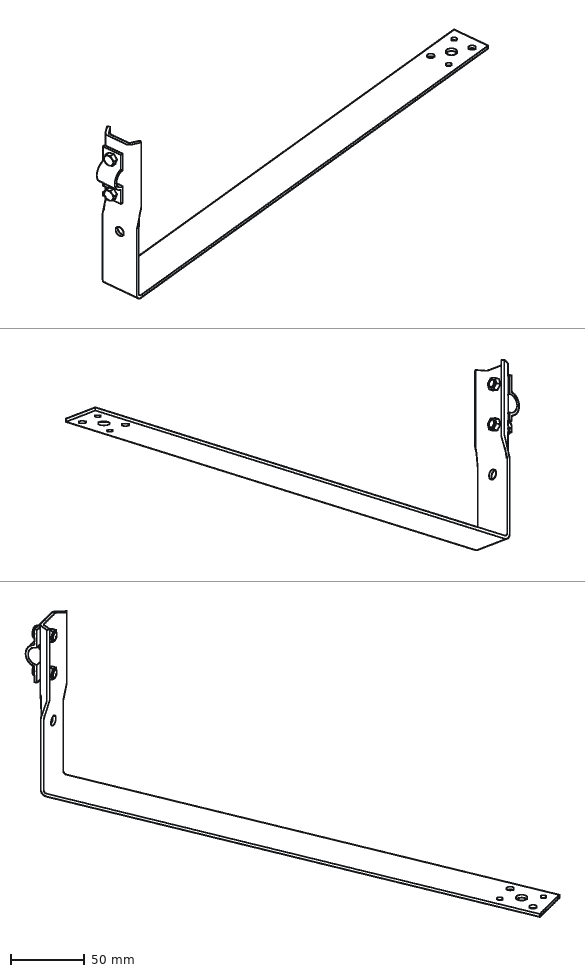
import cadquery as cq
import math

total_height = 130.0
strap_width = 30.0
sheet = 2.5
foot_back_y = 380.5
bend_outer_radius = 4.7
bend_inner_radius = bend_outer_radius - sheet

channel_length = 55.0
transition_length = 15.5
channel_bottom_z = total_height - channel_length
transition_bottom_z = channel_bottom_z - transition_length
channel_front_y = -3.0
front_half_width = 8.5
shoulder_outer_radius = 3.5
shoulder_inner_radius = shoulder_outer_radius - sheet
flat_front_half_width = 13.0
flange_angle = math.radians(60)

upright_hole_diameter = 7.0
upright_hole_z = 51.5
foot_hole_diameter = 8.0
foot_hole_y = 359.0
corner_hole_x = 8.0
corner_hole_y = 12.5
large_corner_hole = 5.0
small_corner_hole = 4.0

clamp_width = 16.0
clamp_height = 41.0
clamp_sheet = 2.0
clamp_gap = 3.0
clamp_z = total_height - 27.0
clamp_back_y = channel_front_y - clamp_gap
clamp_front_y = clamp_back_y - clamp_sheet
arch_outer_radius = 8.7
arch_inner_radius = arch_outer_radius - clamp_sheet
arch_root_radius = 1.0

screw_spacing = 29.3
screw_middle_z = 103.0
screw_diameter = 5.5
hex_across_flats = 8.0
hex_turn = 12
hex_corner_diameter = hex_across_flats / math.cos(math.pi / 6)
head_chamfer_angle = math.radians(30)
head_height = 3.5
nut_height = 3.5
screw_tip = 0.8
nut_front_y = channel_front_y + sheet
screw_end_y = nut_front_y + nut_height + screw_tip
lower_screw_z = screw_middle_z - screw_spacing / 2
upper_screw_z = screw_middle_z + screw_spacing / 2
screw_heights = (lower_screw_z, upper_screw_z)


def cylinder_along_y(diameter, front_y, back_y, z):
    """A round bar parallel to Y and centred on X = 0."""
    axis_start = cq.Vector(0, front_y, z)
    return cq.Workplane(
        cq.Solid.makeCylinder(diameter / 2, back_y - front_y, axis_start, cq.Vector(0, 1, 0))
    )


def shoulder_point(radius, angle):
    """Point of a right-hand shoulder arc, measured by its turn away from the channel front."""
    center_y = channel_front_y + shoulder_outer_radius
    return (front_half_width + radius * math.sin(angle), center_y - radius * math.cos(angle))


def hat_outline(workplane):
    """Channel section: flat front, two round shoulders and two flanges sloping back to the edges."""
    turns = (0, flange_angle / 2, flange_angle)
    out_start, out_mid, out_end = [shoulder_point(shoulder_outer_radius, turn) for turn in turns]
    in_start, in_mid, in_end = [shoulder_point(shoulder_inner_radius, turn) for turn in turns]
    reach_x = strap_width / 2 - out_end[0]
    reach_y = reach_x * math.tan(flange_angle)
    out_edge = (out_end[0] + reach_x, out_end[1] + reach_y)
    in_edge = (in_end[0] + reach_x, in_end[1] + reach_y)

    def left(point):
        return (-point[0], point[1])

    return (
        workplane.moveTo(*out_start)
        .threePointArc(out_mid, out_end)
        .lineTo(*out_edge)
        .lineTo(*in_edge)
        .lineTo(*in_end)
        .threePointArc(in_mid, in_start)
        .lineTo(*left(in_start))
        .threePointArc(left(in_mid), left(in_end))
        .lineTo(*left(in_edge))
        .lineTo(*left(out_edge))
        .lineTo(*left(out_end))
        .threePointArc(left(out_mid), left(out_start))
        .close()
    )


def flat_outline(workplane):
    """Flat strap section with a corner to match each end of the channel's lines and arcs."""
    edge = strap_width / 2
    shoulder = (flat_front_half_width + edge) / 2
    front_half = [(flat_front_half_width, 0), (shoulder, 0), (edge, 0)]
    back_half = [(x, sheet) for x, _ in reversed(front_half)]
    right_half = front_half + back_half
    return workplane.polyline(right_half + [(-x, y) for x, y in reversed(right_half)]).close()


def make_bent_strip():
    """Foot and upright, as one side outline drawn across the strap width."""
    return (
        cq.Workplane("YZ")
        .moveTo(foot_back_y, 0)
        .lineTo(bend_outer_radius, 0)
        .radiusArc((0, bend_outer_radius), bend_outer_radius)
        .lineTo(0, transition_bottom_z)
        .lineTo(sheet, transition_bottom_z)
        .lineTo(sheet, bend_outer_radius)
        .radiusArc((bend_outer_radius, sheet), -bend_inner_radius)
        .lineTo(foot_back_y, sheet)
        .close()
        .extrude(strap_width / 2, both=True)
    )


def make_transition():
    """Straight-ruled change of section from the flat upright to the channel."""
    flat = flat_outline(cq.Workplane("XY", origin=(0, 0, transition_bottom_z)))
    return hat_outline(flat.workplane(offset=transition_length)).loft(ruled=True)


def make_channel():
    """Straight hat-shaped length above the transition."""
    return hat_outline(cq.Workplane("XY", origin=(0, 0, channel_bottom_z))).extrude(channel_length)


def cut_foot_holes(strap):
    """Centre hole with two large and two small corner holes on opposite diagonals."""
    x, y = corner_hole_x, corner_hole_y
    hole_groups = [
        (foot_hole_diameter, [(0, 0)]),
        (large_corner_hole, [(x, y), (-x, -y)]),
        (small_corner_hole, [(-x, y), (x, -y)]),
    ]
    for diameter, places in hole_groups:
        holes = (
            cq.Workplane("XY", origin=(0, foot_hole_y, 0))
            .pushPoints(places).circle(diameter / 2).extrude(sheet)
        )
        strap = strap.cut(holes)
    return strap


def make_strap():
    """One-piece strap: foot, upright, transition and channel, with all its holes."""
    strap = make_bent_strip().union(make_transition()).union(make_channel())
    strap = cut_foot_holes(strap)
    strap = strap.cut(cylinder_along_y(upright_hole_diameter, 0, sheet, upright_hole_z))
    for z in screw_heights:
        strap = strap.cut(cylinder_along_y(screw_diameter, channel_front_y, nut_front_y, z))
    return strap


def make_clamp():
    """Two flat legs joined by a half-round arch, with a hole above and an open slot below."""
    legs = cq.Workplane("XY").box(clamp_width, clamp_sheet, clamp_height).translate(
        (0, (clamp_front_y + clamp_back_y) / 2, clamp_z)
    )
    side_plane = cq.Workplane("YZ", origin=(0, clamp_back_y, clamp_z))
    ring = side_plane.circle(arch_outer_radius).extrude(clamp_width / 2, both=True)
    behind = cq.Workplane("XY").box(
        clamp_width, arch_outer_radius, clamp_height, centered=(True, False, True)
    ).translate((0, clamp_back_y, clamp_z))
    bore = side_plane.circle(arch_inner_radius).extrude(clamp_width / 2, both=True)
    clamp = legs.union(ring.cut(behind))
    root_z = math.sqrt(arch_outer_radius**2 - clamp_sheet**2)
    for z in (clamp_z - root_z, clamp_z + root_z):
        clamp = clamp.edges(cq.NearestToPointSelector((0, clamp_front_y, z))).fillet(arch_root_radius)
    clamp = clamp.cut(bore)
    for z in screw_heights:
        clamp = clamp.cut(cylinder_along_y(screw_diameter, clamp_front_y, clamp_back_y, z))
    slot = cq.Workplane("XY").box(
        clamp_width / 2, clamp_sheet, screw_diameter
    ).translate((-clamp_width / 4, (clamp_front_y + clamp_back_y) / 2, lower_screw_z))
    return clamp.cut(slot)


def hexagon_along_y(front_y, length, z):
    """Hexagonal prism shared by heads and nuts, turned a little about its axis."""
    return (
        cq.Workplane("XZ").polygon(6, hex_corner_diameter).extrude(-length)
        .rotate((0, 0, 0), (0, 1, 0), -hex_turn)
        .translate((0, front_y, z))
    )


def head_envelope(front_y, z):
    """Cone that trims the hexagon corners and leaves a round front face as wide as the flats."""
    front_radius = hex_across_flats / 2
    back_radius = front_radius + head_height / math.tan(head_chamfer_angle)
    face_center = cq.Vector(0, front_y, z)
    return cq.Workplane(
        cq.Solid.makeCone(front_radius, back_radius, head_height, face_center, cq.Vector(0, 1, 0))
    )


def make_screw(z):
    """Hexagon head with chamfered corners and a plain shank."""
    head_front_y = clamp_front_y - head_height
    head = hexagon_along_y(head_front_y, head_height, z).intersect(head_envelope(head_front_y, z))
    return head.union(cylinder_along_y(screw_diameter, clamp_front_y, screw_end_y, z))


def make_nut(z):
    """Plain hexagon nut seated against the inside of the channel front."""
    nut = hexagon_along_y(nut_front_y, nut_height, z)
    return nut.cut(cylinder_along_y(screw_diameter, nut_front_y, nut_front_y + nut_height, z))


strap = make_strap()
clamp = make_clamp()
screws = [make_screw(z) for z in screw_heights]
nuts = [make_nut(z) for z in screw_heights]
result = cq.Compound.makeCompound(
    [strap.val(), clamp.val(), *[s.val() for s in screws], *[n.val() for n in nuts]]
)